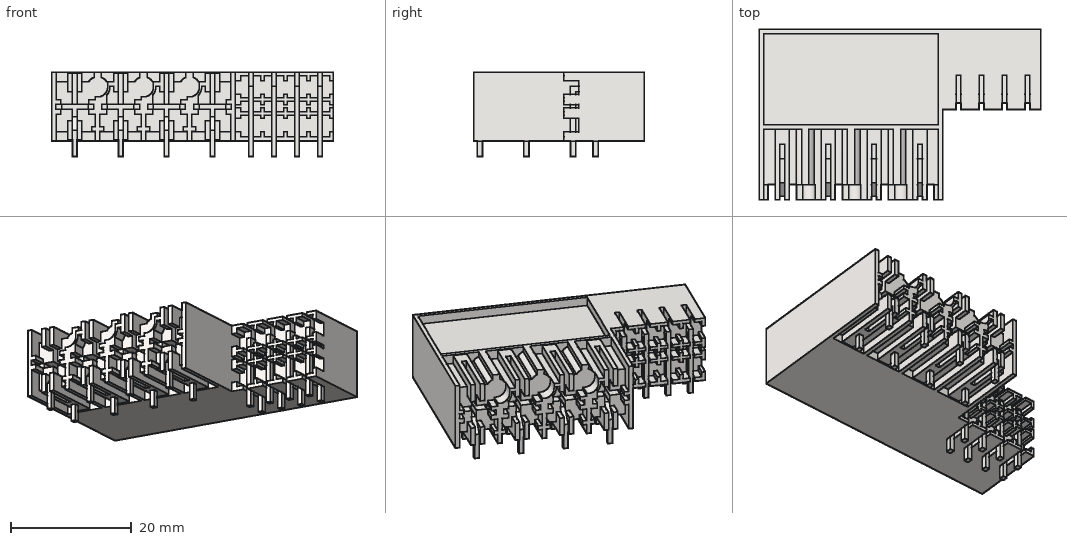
import cadquery as cq
import math

LENGTH = 46.7
DEPTH = 28.3
HEIGHT = 11.45
PIN_DROP = 2.55
WALL = 0.75

POWER_LENGTH = 30.45
SIGNAL_FRONT = 14.95

FACE_SETBACK = 2.5
POWER_FACE = FACE_SETBACK
SIGNAL_FACE = SIGNAL_FRONT + FACE_SETBACK

POCKET_FRONT = 12.45
POCKET_DEPTH = 1.5

POWER_COUNT = 4
POWER_PITCH = 7.6
POWER_FIRST_X = 3.85
CHANNEL_BACK = 11.7
CHANNEL_DEPTH = 1.6
FINGER_BLOCK_WIDTH = 2.35
FINGER_HEIGHT = 3.15
FINGER_RECESS = 0.15
LOWER_FINGER_BOTTOM = 0.25
PIN_WIDTH = 0.8
POWER_SLOT_BACK = 9.2

SLIT_BOTTOM = 5.3
SLIT_TOP = 6.15
SLIT_FRONT_WIDTH = 6.25
SLIT_BACK_WIDTH = 4.4
SLIT_BACK = 6.75

DIVIDER_WIDTH = 0.75
BRACKET_REACH = 0.75
BRACKET_BOTTOM = 4.5
BRACKET_TOP = 6.85
BRACKET_WIDTH = 2.95
FLANGE_BOTTOM = 1.65
FLANGE_TOP = 2.4
FLANGE_WIDTH = 2.05
ROUND_RADIUS = 1.75
ROUND_Z = 8.95
NECK_WIDTH = 1.2
CRADLE_RADIUS = 1.65
CRADLE_THICKNESS = 0.37
BAR_THICKNESS = 0.7
FOOT_TOP = 8.12

PIN_THICKNESS = 0.95
POWER_PIN_FRONT = 0.55
POWER_PIN_TOP = 4.05
POWER_PIN_BEND = 2.25
SIGNAL_COUNT = 4
SIGNAL_FIRST_X = 33.05
SIGNAL_PITCH = POWER_PITCH / 2
SIGNAL_PIN_FRONT = 16.0
SIGNAL_PIN_TOP = 9.15
SIGNAL_SLOT_BACK = 20.7

SHELVES = (
    (0.0, 0.7, 0.0, 0.85),
    (4.35, 4.9, 0.55, 0.6),
    (6.65, 7.2, 0.55, 0.55),
    (10.85, HEIGHT, 0.85, 0.0),
)
RIB_WIDTH = 0.6
LEFT_RIB_WIDTH = 0.95

power_xs = [POWER_FIRST_X + i * POWER_PITCH for i in range(POWER_COUNT)]
divider_xs = [x + POWER_PITCH / 2 for x in power_xs[:-1]]
signal_xs = [SIGNAL_FIRST_X + i * SIGNAL_PITCH for i in range(SIGNAL_COUNT)]
channel_floor = HEIGHT - CHANNEL_DEPTH


def block(x0, x1, y0, y1, z0, z1):
    """Box between opposite corners."""
    return cq.Workplane("XY").box(x1 - x0, y1 - y0, z1 - z0, centered=False).translate((x0, y0, z0))


def centred_block(x, width, y0, y1, z0, z1):
    """Box centred on x."""
    return block(x - width / 2, x + width / 2, y0, y1, z0, z1)


def body():
    """Solid core, the two end walls of the power section, and the top pocket."""
    core = block(0, POWER_LENGTH, POWER_FACE, DEPTH, 0, HEIGHT)
    core = core.union(block(POWER_LENGTH, LENGTH, SIGNAL_FACE, DEPTH, 0, HEIGHT))
    inner_right = POWER_LENGTH - WALL
    for z0, z1 in ((0, CHANNEL_DEPTH), (channel_floor, HEIGHT)):
        core = core.cut(block(WALL, inner_right, POWER_FACE, CHANNEL_BACK, z0, z1))
    pocket = block(WALL, inner_right, POCKET_FRONT, DEPTH - WALL, HEIGHT - POCKET_DEPTH, HEIGHT)
    core = core.cut(pocket)
    for wall_x, bracket_x in ((0, WALL), (inner_right, inner_right - BRACKET_REACH)):
        core = core.union(block(wall_x, wall_x + WALL, 0, POWER_FACE, 0, HEIGHT))
        core = core.union(
            block(bracket_x, bracket_x + BRACKET_REACH, 0, POWER_FACE, BRACKET_BOTTOM, BRACKET_TOP)
        )
    return core


def divider(x):
    """Keyhole-topped wall, its brackets and flange, and the round cradle at the front."""
    wall = centred_block(x, DIVIDER_WIDTH, 0, CHANNEL_BACK, 0, BRACKET_BOTTOM)
    wall = wall.union(centred_block(x, NECK_WIDTH, POWER_FACE, CHANNEL_BACK, ROUND_Z, HEIGHT))
    wall = wall.union(centred_block(x, BRACKET_WIDTH, 0, POWER_FACE, BRACKET_BOTTOM, BRACKET_TOP))
    wall = wall.union(centred_block(x, FLANGE_WIDTH, 0, POWER_FACE, FLANGE_BOTTOM, FLANGE_TOP))
    return wall.union(cylinder(x, ROUND_RADIUS, POWER_FACE, CHANNEL_BACK)).union(cradle(x))


def cylinder(x, radius, y0, y1):
    """Cylinder along Y on the axis of a divider's round."""
    disc = cq.Workplane("XZ", origin=(x, y0, ROUND_Z)).circle(radius)
    return disc.extrude(y0 - y1)


def cradle(x):
    """Half-round trough below the round, with a straight side wall and a bar to the finger on its right."""
    outer_radius = CRADLE_RADIUS + CRADLE_THICKNESS
    finger_x = x + POWER_PITCH / 2 - FINGER_BLOCK_WIDTH / 2
    trough = cylinder(x, outer_radius, 0, POWER_FACE)
    trough = trough.union(block(x, x + outer_radius, 0, POWER_FACE, ROUND_Z, channel_floor))
    trough = trough.union(
        block(x, finger_x, 0, POWER_FACE, channel_floor - BAR_THICKNESS, channel_floor)
    )
    trough = trough.intersect(block(x, finger_x, 0, POWER_FACE, 0, channel_floor))
    foot_left = x - DIVIDER_WIDTH / 2
    foot_right = x + BRACKET_WIDTH / 2
    trough = trough.union(block(foot_left, foot_right, 0, POWER_FACE, BRACKET_BOTTOM, FOOT_TOP))
    trough = trough.cut(cylinder(x, CRADLE_RADIUS, 0, POWER_FACE))
    return trough.cut(centred_block(x, 2 * CRADLE_RADIUS, 0, POWER_FACE, ROUND_Z, HEIGHT))


def fingers(x):
    """Upper and lower finger blocks of one power contact."""
    upper_top = HEIGHT - FINGER_RECESS
    upper = centred_block(x, FINGER_BLOCK_WIDTH, 0, CHANNEL_BACK, upper_top - FINGER_HEIGHT, upper_top)
    lower_top = LOWER_FINGER_BOTTOM + FINGER_HEIGHT
    lower = centred_block(x, FINGER_BLOCK_WIDTH, 0, CHANNEL_BACK, LOWER_FINGER_BOTTOM, lower_top)
    return upper.union(lower)


def slit(x):
    """Horizontal slit: wide through the brackets, narrower inside the core."""
    wide = centred_block(x, SLIT_FRONT_WIDTH, 0, POWER_FACE, SLIT_BOTTOM, SLIT_TOP)
    return wide.union(centred_block(x, SLIT_BACK_WIDTH, POWER_FACE, SLIT_BACK, SLIT_BOTTOM, SLIT_TOP))


def corner(y, z, bend):
    """Front upper corner of a pin profile: sharp, or sloped at 45 degrees over the length bend."""
    if bend == 0:
        return [(y, z)]
    return [(y, z - bend), (y + bend, z)]


def pin(x, front, back, top, bend):
    """Staple-shaped pin of even thickness with two legs reaching below the housing."""
    inner_bend = max(0, bend - PIN_THICKNESS * (2 - math.sqrt(2)))
    inner_front = front + PIN_THICKNESS
    inner_back = back - PIN_THICKNESS
    inner_top = top - PIN_THICKNESS
    outer = [(front, -PIN_DROP), *corner(front, top, bend), (back, top), (back, -PIN_DROP)]
    inner = [(inner_front, -PIN_DROP), *corner(inner_front, inner_top, inner_bend)]
    inner += [(inner_back, inner_top), (inner_back, -PIN_DROP)]
    profile = cq.Workplane("YZ", origin=(x - PIN_WIDTH / 2, 0, 0)).polyline(outer + inner[::-1])
    return profile.close().extrude(PIN_WIDTH)


def shelf(bottom, top, rib_below, rib_above):
    """Signal shelf with ribs at both ends and midway between the pins."""
    plate = block(POWER_LENGTH, LENGTH, SIGNAL_FRONT, SIGNAL_FACE, bottom, top)
    rib_bottom = bottom - rib_below
    rib_top = top + rib_above
    for x in signal_xs[:-1]:
        mid_x = x + SIGNAL_PITCH / 2
        plate = plate.union(
            centred_block(mid_x, RIB_WIDTH, SIGNAL_FRONT, SIGNAL_FACE, rib_bottom, rib_top)
        )
    for x0, x1 in ((POWER_LENGTH, POWER_LENGTH + LEFT_RIB_WIDTH), (LENGTH - RIB_WIDTH, LENGTH)):
        plate = plate.union(block(x0, x1, SIGNAL_FRONT, SIGNAL_FACE, rib_bottom, rib_top))
    return plate


result = body()
for x in divider_xs:
    result = result.union(divider(x))
for x in power_xs:
    result = result.union(fingers(x))
for levels in SHELVES:
    result = result.union(shelf(*levels))
for x in power_xs:
    result = result.cut(slit(x))
    result = result.cut(centred_block(x, PIN_WIDTH, 0, SLIT_BACK, 0, SLIT_BOTTOM))
    result = result.cut(centred_block(x, PIN_WIDTH, 0, POWER_SLOT_BACK, SLIT_TOP, HEIGHT))
    result = result.union(pin(x, POWER_PIN_FRONT, POWER_SLOT_BACK, POWER_PIN_TOP, POWER_PIN_BEND))
for x in signal_xs:
    result = result.cut(centred_block(x, PIN_WIDTH, SIGNAL_FRONT, SIGNAL_SLOT_BACK, 0, HEIGHT))
    result = result.union(pin(x, SIGNAL_PIN_FRONT, SIGNAL_SLOT_BACK, SIGNAL_PIN_TOP, 0))